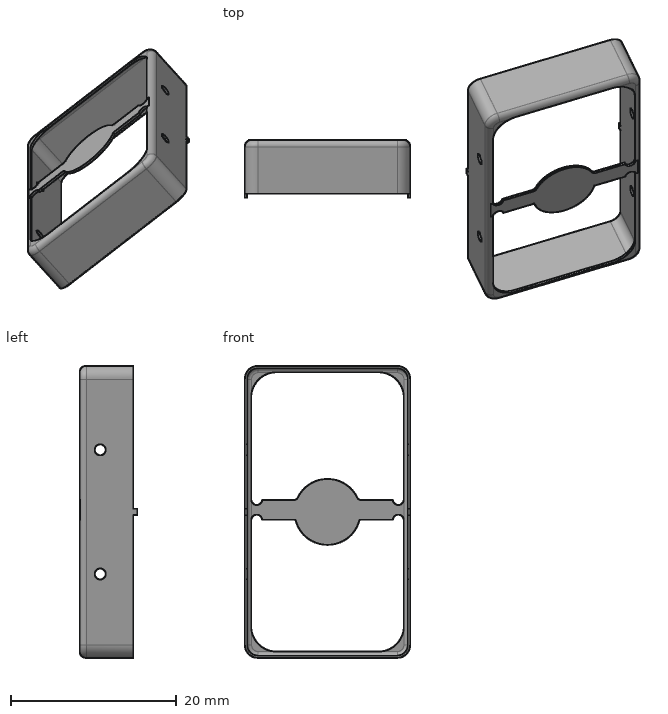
import cadquery as cq

width = 20.0
height = 35.3
total_depth = 7.0
sheet = 0.3

tab_length = 0.5
tab_width = 0.8

shell_depth = total_depth - tab_length
corner_radius = 1.6
bend_radius = 0.8

window_width = width - 2 * bend_radius
window_height = height - 2 * bend_radius
window_corner_radius = 3.0

disc_diameter = 8.0
strip_width = 2.4
strip_center_z = 0.25
disc_blend_radius = 0.5
neck_width = 1.2
notch_radius = 0.65
notch_x = window_width / 2 - notch_radius
notch_offset_z = neck_width / 2 + notch_radius

hole_diameter = 1.3
hole_spacing = 15.0
hole_from_back = 2.5


def rounded_block(inset):
    """Block inset from the outer surface on all sides but the open front."""
    block = cq.Workplane("XY").box(
        width - 2 * inset,
        shell_depth - inset,
        height - 2 * inset,
        centered=(True, False, True),
    )
    block = block.edges("|Y").fillet(corner_radius - inset)
    return block.faces(">Y").edges().fillet(bend_radius - inset)


def back_plane():
    """Sketch plane on the rear face, with extrusion pointing to the front."""
    return cq.Workplane("XZ", origin=(0, shell_depth, 0))


def make_window():
    window = back_plane().rect(window_width, window_height).extrude(sheet)
    return window.edges("|Y").fillet(window_corner_radius)


def make_bridge():
    strip_length = window_width + 2 * sheet
    strip = back_plane().center(0, strip_center_z).rect(strip_length, strip_width).extrude(sheet)
    disc = back_plane().circle(disc_diameter / 2).extrude(sheet)
    notch_centers = [
        (side * notch_x, strip_center_z + edge * notch_offset_z)
        for side in (-1, 1)
        for edge in (-1, 1)
    ]
    notches = back_plane().pushPoints(notch_centers).circle(notch_radius).extrude(sheet)
    bridge = strip.union(disc)
    upper_corners = cq.selectors.BoxSelector(
        (-disc_diameter / 2, shell_depth - sheet, strip_center_z),
        (disc_diameter / 2, shell_depth, disc_diameter / 2),
    )
    bridge = bridge.edges("|Y").edges(upper_corners).fillet(disc_blend_radius)
    return bridge.cut(notches)


def make_tabs():
    tab_x = (width - sheet) / 2
    tabs = cq.Workplane("XZ").pushPoints([(-tab_x, 0), (tab_x, 0)])
    return tabs.rect(sheet, tab_width).extrude(tab_length)


def make_wall_holes():
    hole_y = shell_depth - hole_from_back
    hole_centers = [(hole_y, -hole_spacing / 2), (hole_y, hole_spacing / 2)]
    holes = cq.Workplane("YZ").pushPoints(hole_centers)
    return holes.circle(hole_diameter / 2).extrude(width / 2, both=True)


shell = rounded_block(0).cut(rounded_block(sheet))
frame = shell.cut(make_window()).cut(make_wall_holes())
result = frame.union(make_bridge()).union(make_tabs())